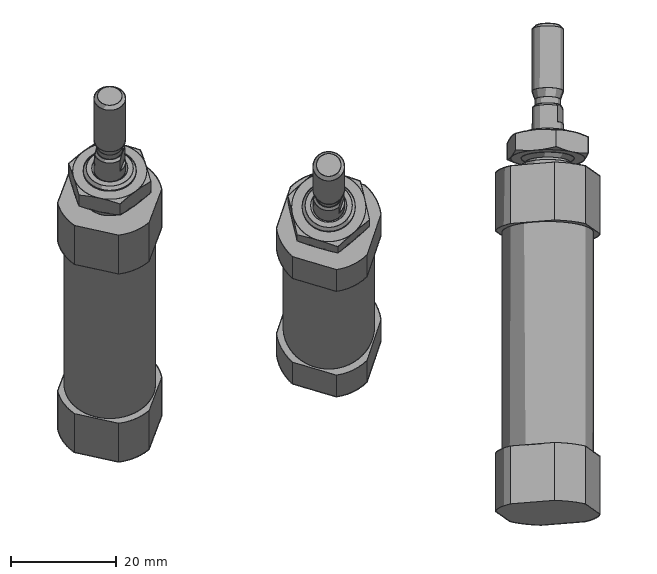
import cadquery as cq
import math

total_length = 94.6
body_width = 18.0

cap_corner_diameter = 20.0
cap_height = 11.3
tube_diameter = 17.3
housing_length = 65.7
nose_diameter = 10.0
nose_collar_height = 1.7
nose_groove_diameter = 8.4
nose_groove_height = 0.7
nose_groove_taper = (nose_diameter - nose_groove_diameter) / 2
nose_top_diameter = 8.9
nose_length = 7.9
nose_mouth_diameter = 6.8
nose_chamfer = (nose_diameter - nose_top_diameter) / 2

rod_diameter = 6.0
thread_length = 12.7
rod_tip_chamfer = 0.7
rod_neck_diameter = 4.8
rod_neck_taper_height = 1.6
shoulder_depth = 15.5
shoulder_chamfer = 0.5
wrench_width = 5.0
wrench_flat_end_depth = 19.1

nut_width = 14.0
nut_height = 4.0
nut_bottom_z = 68.9
nut_chamfer_angle = 20.0

nose_top_z = housing_length + nose_length
nut_corner_diameter = nut_width / math.cos(math.radians(30.0))
rod_bottom_z = housing_length - cap_height


def cylinder(diameter, bottom_z, height):
    return cq.Workplane("XY").workplane(offset=bottom_z).circle(diameter / 2).extrude(height)


def revolve_profile(points):
    """Revolve a closed (radius, z) outline around the Z axis."""
    return cq.Workplane("XZ").polyline(points).close().revolve(360, (0, 0), (0, 1))


def make_cap(bottom_z):
    """Square block whose corners are rounded by one common cylinder."""
    block = cq.Workplane("XY").workplane(offset=bottom_z).rect(body_width, body_width).extrude(cap_height)
    return block.intersect(cylinder(cap_corner_diameter, bottom_z, cap_height))


def make_nose():
    """Collar, undercut and chamfered thread that carries the lock nut."""
    radius = nose_diameter / 2
    groove_radius = nose_groove_diameter / 2
    collar_top_z = housing_length + nose_collar_height
    groove_top_z = collar_top_z + nose_groove_height
    return revolve_profile([
        (0, housing_length),
        (radius, housing_length),
        (radius, collar_top_z),
        (groove_radius, collar_top_z),
        (groove_radius, groove_top_z),
        (radius, groove_top_z + nose_groove_taper),
        (radius, nose_top_z - nose_chamfer),
        (nose_top_diameter / 2, nose_top_z),
        (0, nose_top_z),
    ])


def make_rod_bore():
    """Blind bore matching the rod, with a 45 degree countersink at its mouth."""
    bore_radius = rod_diameter / 2
    mouth_radius = nose_mouth_diameter / 2
    countersink_depth = mouth_radius - bore_radius
    return revolve_profile([
        (0, rod_bottom_z),
        (bore_radius, rod_bottom_z),
        (bore_radius, nose_top_z - countersink_depth),
        (mouth_radius, nose_top_z),
        (0, nose_top_z),
    ])


def make_housing():
    tube = cylinder(tube_diameter, cap_height, housing_length - 2 * cap_height)
    solid = make_cap(0).union(tube).union(make_cap(housing_length - cap_height))
    return solid.union(make_nose()).cut(make_rod_bore())


def make_rod():
    radius = rod_diameter / 2
    neck_radius = rod_neck_diameter / 2
    thread_bottom_z = total_length - thread_length
    shoulder_z = total_length - shoulder_depth
    rod = revolve_profile([
        (0, rod_bottom_z),
        (radius, rod_bottom_z),
        (radius, shoulder_z - shoulder_chamfer),
        (radius - shoulder_chamfer, shoulder_z),
        (neck_radius, shoulder_z),
        (neck_radius, thread_bottom_z - rod_neck_taper_height),
        (radius, thread_bottom_z),
        (radius, total_length - rod_tip_chamfer),
        (radius - rod_tip_chamfer, total_length),
        (0, total_length),
    ])
    flat_bottom_z = total_length - wrench_flat_end_depth
    flat_height = shoulder_z - flat_bottom_z
    for side in (-1, 1):
        cutter = (
            cq.Workplane("XY")
            .workplane(offset=flat_bottom_z)
            .center(side * (wrench_width + rod_diameter) / 2, 0)
            .rect(rod_diameter, rod_diameter)
            .extrude(flat_height)
        )
        rod = rod.cut(cutter)
    return rod


def make_nut():
    """Hexagon nut with conical corner chamfers on both ends."""
    inner_radius = nut_width / 2
    corner_radius = nut_corner_diameter / 2
    chamfer_height = (corner_radius - inner_radius) * math.tan(math.radians(nut_chamfer_angle))
    nut_top_z = nut_bottom_z + nut_height
    hexagon = (
        cq.Workplane("XY").workplane(offset=nut_bottom_z).polygon(6, nut_corner_diameter).extrude(nut_height)
    )
    envelope = revolve_profile([
        (0, nut_bottom_z),
        (inner_radius, nut_bottom_z),
        (corner_radius, nut_bottom_z + chamfer_height),
        (corner_radius, nut_top_z - chamfer_height),
        (inner_radius, nut_top_z),
        (0, nut_top_z),
    ])
    return hexagon.intersect(envelope).cut(cylinder(nose_diameter, nut_bottom_z, nut_height))


housing = make_housing()
rod = make_rod()
nut = make_nut()

result = cq.Compound.makeCompound([housing.val(), rod.val(), nut.val()])